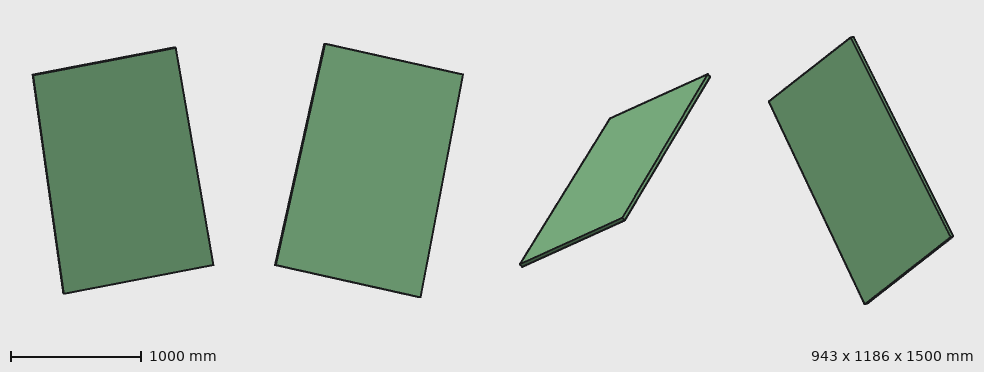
import cadquery as cq
import math

size_x = 943.0
size_z = 1500.0
thickness = 30.0
bottom_width = 1186.0
top_width = 1131.0
front_taper = 5.0

solver_steps = 20
length = math.sqrt(size_x**2 + size_z**2 - thickness**2)
for _ in range(solver_steps):
    tilt = math.atan2(
        size_z * length - size_x * thickness,
        size_x * length - size_z * thickness,
    )
    length = (size_z - thickness * math.cos(tilt)) / math.sin(tilt)

panel_plane = cq.Plane(
    origin=(0, 0, length * math.sin(tilt)),
    xDir=(math.cos(tilt), 0, -math.sin(tilt)),
    normal=(math.sin(tilt), 0, math.cos(tilt)),
)

result = (
    cq.Workplane(panel_plane)
    .polyline([
        (0, front_taper),
        (length, 0),
        (length, bottom_width),
        (0, front_taper + top_width),
    ])
    .close()
    .extrude(thickness)
)